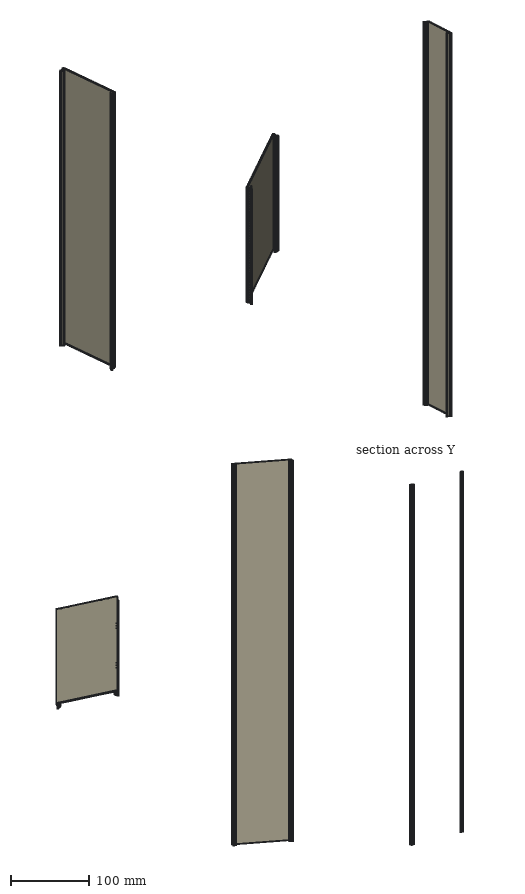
import cadquery as cq
import math

length = 500.0
depth = 7.97
width = 80.38
back_y = depth / 2
tip_y = -depth / 2

lid_width = 80.0
plate_thickness = 1.35
leg_length = 2.7
corner_radius = 0.4
half_lid = lid_width / 2

wall = 1.0
neck_inset = 0.75
flare_start = 5.4
flare_angle = 40.3
edge_length = 7.77
apex_inset = 0.35
slope_angle = 30.0
nose_angle = 55.0
slope_end = 4.4
hook_reach = 5.0
hook_top = 4.3

half_width = width / 2
outer_neck = half_width - neck_inset
inner_neck = outer_neck - wall
hook_inner = half_width - hook_reach
hook_outer = hook_inner + wall
slope = math.tan(math.radians(slope_angle))


def lead_in_y(inset):
    """Y of the sloped lead-in face at a distance in from the clip's outer edge."""
    return tip_y + (inset - apex_inset) * slope


def pocket_floor_y(x):
    """Y of the hook's pocket floor, one wall behind the lead-in face."""
    return lead_in_y(half_width - x) + wall / math.cos(math.radians(slope_angle))


def make_lid():
    leg_y = back_y - leg_length
    plate_front_y = back_y - plate_thickness
    outline = [
        (-half_lid, back_y),
        (half_lid, back_y),
        (half_lid, leg_y),
        (inner_neck, leg_y),
        (inner_neck, plate_front_y),
        (-inner_neck, plate_front_y),
        (-inner_neck, leg_y),
        (-half_lid, leg_y),
    ]
    lid = cq.Workplane("XY").polyline(outline).close().extrude(length)
    back_corners = lid.faces(">Y").edges("|Z")
    return back_corners.fillet(corner_radius)


def make_clip(side):
    """One hook; side is +1 for the +X edge of the lid and -1 for the -X edge."""
    leg_y = back_y - leg_length
    neck_y = back_y - flare_start
    flare_y = neck_y - neck_inset / math.tan(math.radians(flare_angle))
    slope_end_y = lead_in_y(slope_end)
    nose_y = slope_end_y + (hook_reach - slope_end) * math.tan(math.radians(nose_angle))
    hook_top_y = back_y - hook_top
    outline = [
        (outer_neck, leg_y),
        (outer_neck, neck_y),
        (half_width, flare_y),
        (half_width, back_y - edge_length),
        (half_width - apex_inset, tip_y),
        (half_width - slope_end, slope_end_y),
        (hook_inner, nose_y),
        (hook_inner, hook_top_y),
        (hook_outer, hook_top_y),
        (hook_outer, pocket_floor_y(hook_outer)),
        (inner_neck, pocket_floor_y(inner_neck)),
        (inner_neck, leg_y),
    ]
    points = [(side * x, y) for x, y in outline]
    return cq.Workplane("XY").polyline(points).close().extrude(length)


lid = make_lid()
clips = [make_clip(side) for side in (-1, 1)]

result = cq.Compound.makeCompound([lid.val(), *[clip.val() for clip in clips]])